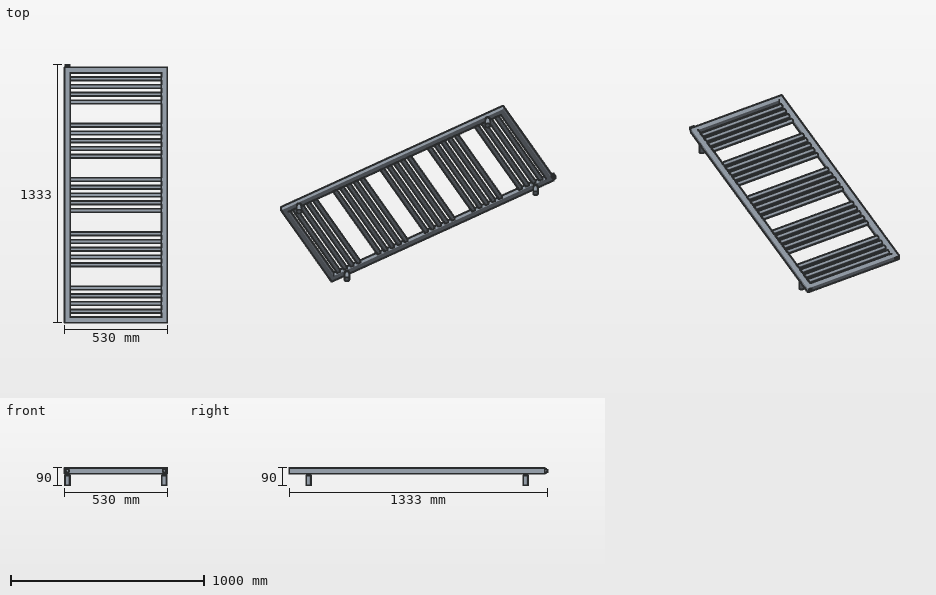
import cadquery as cq

FRAME_WIDTH = 530.0
OVERALL_LENGTH = 1333.0
OVERALL_HEIGHT = 90.0
TUBE_SIZE = 30.0
TUBE_FILLET = 3.0
POST_END_FILLET = 2.5
VALVE_PROJECTION = 13.0
FRAME_LENGTH = OVERALL_LENGTH - VALVE_PROJECTION
POST_X = (FRAME_WIDTH - TUBE_SIZE) / 2
HEADER_Y = (FRAME_LENGTH - TUBE_SIZE) / 2

RUNG_WIDTH = 20.0
RUNG_HEIGHT = 15.0
RUNG_FILLET = 3.0
RUNG_PITCH = 40.0
RUNGS_PER_GROUP = 5
GROUP_COUNT = 5
SKIPPED_RUNGS = 2

LEG_INSET = 100.0
LEG_DIAMETER = 27.0
NECK_DIAMETER = 21.0
NECK_HEIGHT = 7.0
SHOULDER_HEIGHT = 4.0
LEG_HEIGHT = OVERALL_HEIGHT - TUBE_SIZE

PORT_DIAMETER = 17.0
PORT_DEPTH = 13.0

VALVE_WIDTH = 24.0
VALVE_BASE_HEIGHT = 24.0
VALVE_TIP_HEIGHT = 13.0
VALVE_BASE_LENGTH = 4.0
VALVE_TAPER_LENGTH = 5.0


def tube(width, height, fillet, length, axis):
    """Rectangular bar with rounded long edges, centred on the origin along the axis."""
    plane = {"X": "YZ", "Y": "XZ"}[axis]
    bar = cq.Workplane(plane).rect(width, height).extrude(length / 2, both=True)
    return bar.edges("|" + axis).fillet(fillet)


def rung_positions():
    """Y of every rung; the outermost place of each end group is left to the header."""
    group_step = RUNGS_PER_GROUP + SKIPPED_RUNGS
    half_groups = GROUP_COUNT // 2
    half_rungs = RUNGS_PER_GROUP // 2
    outermost = half_groups * group_step + half_rungs
    places = []
    for group in range(-half_groups, half_groups + 1):
        for rung in range(-half_rungs, half_rungs + 1):
            place = group * group_step + rung
            if abs(place) < outermost:
                places.append(place * RUNG_PITCH)
    return places


def leg():
    """Turned stand-off hanging below the tube, with a neck above a conical shoulder."""
    top = -TUBE_SIZE / 2
    bottom = top - LEG_HEIGHT
    shoulder = top - NECK_HEIGHT
    leg_radius = LEG_DIAMETER / 2
    profile = [
        (0, 0),
        (-NECK_DIAMETER / 2, 0),
        (-NECK_DIAMETER / 2, shoulder),
        (-leg_radius, shoulder - SHOULDER_HEIGHT),
        (-leg_radius, bottom),
        (0, bottom),
    ]
    return cq.Workplane("YZ").polyline(profile).close().revolve(360, (0, 0), (0, 1))


def make_radiator():
    """Welded frame: posts, headers, rungs and legs, with a port in the -Y end of each post."""
    post = tube(TUBE_SIZE, TUBE_SIZE, TUBE_FILLET, FRAME_LENGTH, "Y")
    post = post.faces("<Y or >Y").edges().fillet(POST_END_FILLET)
    body = post.translate((-POST_X, 0, 0)).union(post.translate((POST_X, 0, 0)))

    header = tube(TUBE_SIZE, TUBE_SIZE, TUBE_FILLET, 2 * POST_X, "X")
    for y in (-HEADER_Y, HEADER_Y):
        body = body.union(header.translate((0, y, 0)))

    rung = tube(RUNG_WIDTH, RUNG_HEIGHT, RUNG_FILLET, 2 * POST_X, "X")
    for y in rung_positions():
        body = body.union(rung.translate((0, y, 0)))

    leg_y = FRAME_LENGTH / 2 - LEG_INSET
    for x in (-POST_X, POST_X):
        for y in (-leg_y, leg_y):
            body = body.union(leg().translate((x, y, 0)))

    port = cq.Workplane("XZ").circle(PORT_DIAMETER / 2).extrude(PORT_DEPTH, both=True)
    for x in (-POST_X, POST_X):
        body = body.cut(port.translate((x, -FRAME_LENGTH / 2, 0)))
    return body


def make_vent_valve():
    """Vent valve on the +Y end of the -X post: a block narrowing in height to its tip."""
    end = FRAME_LENGTH / 2
    base_end = end + VALVE_BASE_LENGTH
    taper_end = base_end + VALVE_TAPER_LENGTH
    tip = end + VALVE_PROJECTION
    half_base = VALVE_BASE_HEIGHT / 2
    half_tip = VALVE_TIP_HEIGHT / 2
    upper_outline = [(end, half_base), (base_end, half_base), (taper_end, half_tip), (tip, half_tip)]
    lower_outline = [(y, -z) for y, z in reversed(upper_outline)]
    outline = cq.Workplane("YZ").polyline(upper_outline + lower_outline).close()
    valve = outline.extrude(VALVE_WIDTH / 2, both=True)
    return valve.translate((-POST_X, 0, 0))


radiator = make_radiator()
vent_valve = make_vent_valve()
result = cq.Compound.makeCompound([radiator.val(), vent_valve.val()])